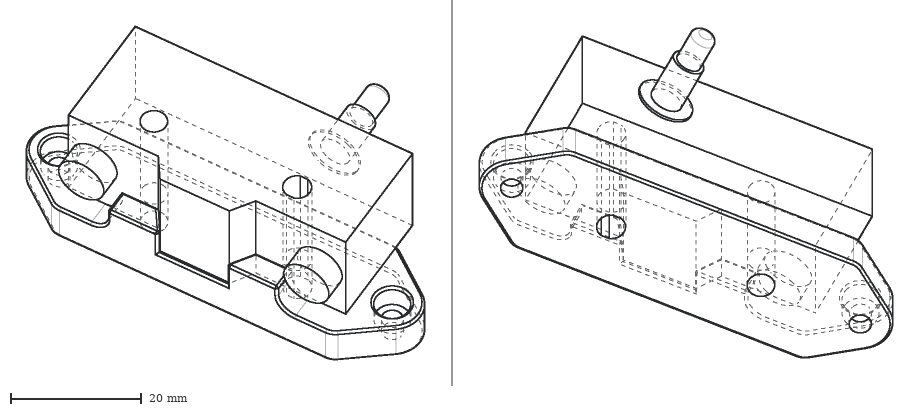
import cadquery as cq
import math


base_length = 69.15
base_depth = 20.0
base_height = 6.9
base_mid_y = base_depth / 2
edge_chamfer = 0.4
bevel_angle = 45
ear_radius = 5.0
ear_x = base_length / 2 - ear_radius
base_corner_radius = 3.0

screw_hole_diameter = 3.4
screw_head_diameter = 5.7
screw_head_depth = 4.0

housing_length = 49.25
housing_front_y = 4.4
housing_back_y = 24.6
housing_top_z = 24.5
housing_height = housing_top_z - base_height
nose_front_y = 0.7
nose_front_half_width = 6.15
nose_root_half_width = 8.65

tab_top_z = 11.9
tab_outer_x = 15.1
tab_root_radius = 3.05

mounting_hole_x = 12.7
mounting_hole_diameter = 4.2
wide_hole_diameter = 4.4

axis_z = base_height + housing_height / 2
terminal_x = 20.0
terminal_diameter = 8.0
terminal_front_y = 0.4

plunger_x = 10.6
flange_diameter = 9.0
flange_end_y = 25.05
stem_diameter = 5.2
stem_end_y = 32.9
tip_diameter = 4.0
tip_end_y = 38.7
tip_round = 0.9


def rod_along_y(x, diameter, start_y, end_y):
    """Cylinder along Y at the mid height of the housing."""
    length = end_y - start_y
    centre = cq.Vector(x, start_y, axis_z)
    return cq.Workplane(cq.Solid.makeCylinder(diameter / 2, length, centre, cq.Vector(0, 1, 0)))


def mounting_holes():
    """Cutters for the two mounting holes, through the full height of the switch and base."""
    round_hole = (
        cq.Workplane("XY")
        .center(-mounting_hole_x, base_mid_y)
        .circle(mounting_hole_diameter / 2)
        .extrude(housing_top_z)
    )
    wide_hole = (
        cq.Workplane("XY")
        .center(mounting_hole_x, base_mid_y)
        .circle(wide_hole_diameter / 2)
        .extrude(housing_top_z)
    )
    flats = (
        cq.Workplane("XY")
        .center(mounting_hole_x, base_mid_y)
        .rect(wide_hole_diameter, mounting_hole_diameter)
        .extrude(housing_top_z)
    )
    return round_hole.union(wide_hole.intersect(flats))


def base_plate():
    """Six-sided plate whose slanted sides run tangent to the round ears."""
    corner_x = housing_length / 2
    corner_to_ear = math.hypot(ear_x - corner_x, base_mid_y)
    ear_bearing = math.atan2(base_mid_y, ear_x - corner_x)
    side_slope = ear_bearing - math.asin(ear_radius / corner_to_ear)
    apex_x = ear_x + ear_radius / math.sin(side_slope)
    plate = (
        cq.Workplane("XY")
        .polyline([
            (-corner_x, 0),
            (corner_x, 0),
            (apex_x, base_mid_y),
            (corner_x, base_depth),
            (-corner_x, base_depth),
            (-apex_x, base_mid_y),
        ])
        .close()
        .extrude(base_height)
    )
    plate = plate.edges("|Z and (<X or >X)").fillet(ear_radius)
    return plate.edges("|Z and (<Y or >Y)").fillet(base_corner_radius)


def tab(side):
    """Locating tab on one side of the nose; side is -1 for left and +1 for right."""
    profile = (
        cq.Workplane("XZ")
        .moveTo(0, base_height)
        .lineTo(side * (tab_outer_x + tab_root_radius), base_height)
        .radiusArc((side * tab_outer_x, base_height + tab_root_radius), side * tab_root_radius)
        .lineTo(side * tab_outer_x, tab_top_z)
        .lineTo(0, tab_top_z)
        .close()
        .extrude(-housing_front_y)
    )
    notch = (
        cq.Workplane("XY", origin=(0, 0, base_height))
        .polyline([
            (0, 0),
            (side * nose_front_half_width, 0),
            (side * nose_front_half_width, nose_front_y),
            (side * nose_root_half_width, housing_front_y),
            (0, housing_front_y),
        ])
        .close()
        .extrude(tab_top_z - base_height)
    )
    return profile.cut(notch)


def chamfer_base(base):
    """Chamfer the outer rim, the front outline and the tab tops, but not the feet of the tabs."""

    def is_on_rim(edge):
        centre = edge.Center()
        return centre.y > housing_front_y + edge_chamfer or abs(centre.x) > housing_length / 2

    front_and_bottom = base.faces("<Y or <Z").edges()
    tab_tops = base.faces(">Z").edges()
    rim = base.faces("+Z").faces("<Z").edges().filter(is_on_rim)
    return base.newObject(front_and_bottom.add(tab_tops).add(rim).vals()).chamfer(edge_chamfer)


def screw_hole(side):
    """Cutter for the counterbored screw hole in one ear."""
    seat_z = base_height - screw_head_depth
    shank = cq.Workplane("XY").circle(screw_hole_diameter / 2).extrude(base_height)
    head = cq.Workplane("XY", origin=(0, 0, seat_z)).circle(screw_head_diameter / 2).extrude(screw_head_depth)
    rim_radius = screw_head_diameter / 2
    mouth = (
        cq.Workplane("XY", origin=(0, 0, base_height))
        .circle(rim_radius + edge_chamfer)
        .extrude(-edge_chamfer, taper=bevel_angle)
    )
    return shank.union(head).union(mouth).translate((side * ear_x, base_mid_y, 0))


def make_base():
    base = base_plate()
    for side in (-1, 1):
        base = base.union(tab(side))
    base = chamfer_base(base)
    for side in (-1, 1):
        base = base.cut(screw_hole(side))
    return base.cut(mounting_holes())


def make_housing():
    """Block with a tapered nose at the front and two round terminals."""
    half_length = housing_length / 2
    block = (
        cq.Workplane("XY", origin=(0, 0, base_height))
        .polyline([
            (-half_length, housing_back_y),
            (-half_length, housing_front_y),
            (-nose_root_half_width, housing_front_y),
            (-nose_front_half_width, nose_front_y),
            (nose_front_half_width, nose_front_y),
            (nose_root_half_width, housing_front_y),
            (half_length, housing_front_y),
            (half_length, housing_back_y),
        ])
        .close()
        .extrude(housing_height)
    )
    for x in (-terminal_x, terminal_x):
        block = block.union(rod_along_y(x, terminal_diameter, terminal_front_y, housing_front_y))
    return block.cut(mounting_holes())


def make_plunger():
    """Stepped plunger with a thin flange that rests on the back of the housing."""
    flange = rod_along_y(plunger_x, flange_diameter, housing_back_y, flange_end_y)
    stem = rod_along_y(plunger_x, stem_diameter, flange_end_y, stem_end_y)
    tip = rod_along_y(plunger_x, tip_diameter, stem_end_y, tip_end_y).faces(">Y").edges().fillet(tip_round)
    return flange.union(stem).union(tip)


base = make_base()
housing = make_housing()
plunger = make_plunger()

result = cq.Compound.makeCompound([base.val(), housing.val(), plunger.val()])